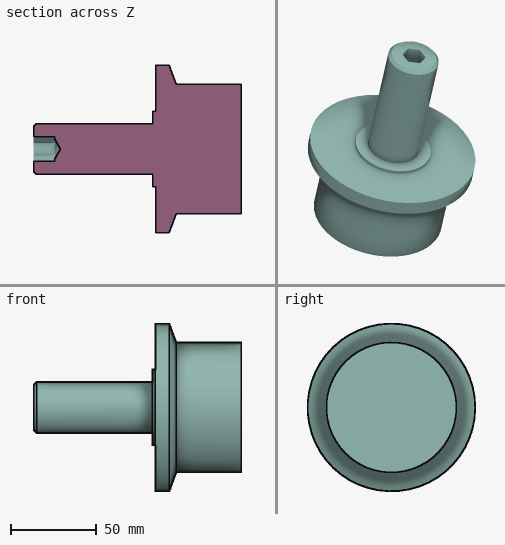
import cadquery as cq
import math

total_length = 121.5
collar_start = 69.4
flange_start = 71.2
rim_end = 79.3
tread_start = 83.5

shaft_diameter = 30.0
collar_diameter = 44.5
flange_diameter = 98.0
tread_diameter = 75.9
shaft_chamfer = 1.8

socket_across_flats = 12.0
socket_depth = 12.2
drill_point_angle = 120.0


def make_roller():
    """Shaft, collar, flange and tread turned about the X axis."""
    shaft_radius = shaft_diameter / 2
    collar_radius = collar_diameter / 2
    flange_radius = flange_diameter / 2
    tread_radius = tread_diameter / 2
    profile = [
        (0, 0),
        (0, shaft_radius - shaft_chamfer),
        (shaft_chamfer, shaft_radius),
        (collar_start, shaft_radius),
        (collar_start, collar_radius),
        (flange_start, collar_radius),
        (flange_start, flange_radius),
        (rim_end, flange_radius),
        (tread_start, tread_radius),
        (total_length, tread_radius),
        (total_length, 0),
    ]
    return cq.Workplane("XY").polyline(profile).close().revolve(360, (0, 0, 0), (1, 0, 0))


def make_socket():
    """Hexagonal socket with two corners on the Y axis, ending in a drill point."""
    across_corners = socket_across_flats / math.cos(math.pi / 6)
    drill_radius = socket_across_flats / 2
    point_length = drill_radius / math.tan(math.radians(drill_point_angle / 2))
    hexagon = cq.Workplane("YZ").polygon(6, across_corners).extrude(socket_depth)
    point = (
        cq.Workplane("XY")
        .polyline([
            (socket_depth, 0),
            (socket_depth, drill_radius),
            (socket_depth + point_length, 0),
        ])
        .close()
        .revolve(360, (0, 0, 0), (1, 0, 0))
    )
    return hexagon.union(point)


result = make_roller().cut(make_socket())